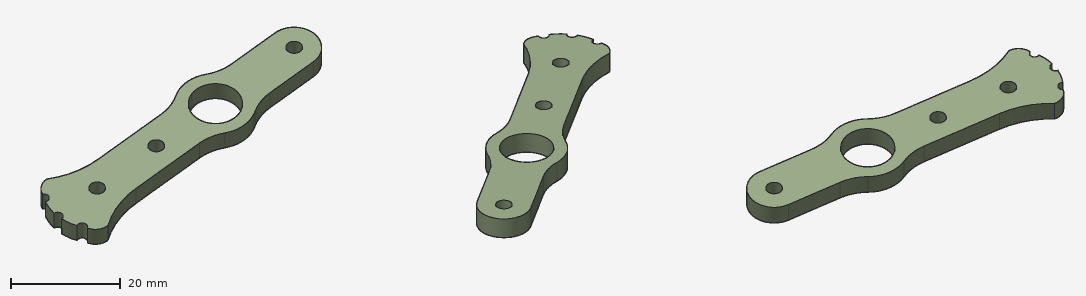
import cadquery as cq
import math

length = 64.95
thickness = 4.0
arm_half_width = 5.0
ring_radius = 7.5
bore_radius = 4.95
ring_blend_radius = 10.0
small_hole_radius = 1.5
hole_pitch = 15.0

tip_radius = 10.0
notch_radius = 1.0
notch_angle = 30.0
flare_start = 5.0
flare_end = -5.0
corner_half_width = 8.0
corner_radius = 3.1
corner_end_angle = 35.0

flare_drop = flare_start - flare_end
flare_spread = corner_half_width - arm_half_width
flare_radius = (flare_drop**2 + flare_spread**2) / (2 * flare_spread)

notch_mouth_depth = tip_radius - notch_radius**2 / (2 * tip_radius)
tip_y = -length / 2 + notch_mouth_depth
lower_hole_y = tip_y + hole_pitch
ring_y = lower_hole_y + hole_pitch
round_end_y = length / 2 - arm_half_width


def disc(radius, x, y):
    return cq.Workplane("XY").center(x, y).circle(radius).extrude(thickness)


def tip_point(angle):
    """Point on the tip arc, with the angle in degrees from straight down."""
    a = math.radians(angle)
    return tip_radius * math.sin(a), tip_y - tip_radius * math.cos(a)


def mirrored(point):
    return -point[0], point[1]


def make_arm():
    blend_x = arm_half_width + ring_blend_radius
    centre_distance = ring_radius + ring_blend_radius
    blend_rise = math.sqrt(centre_distance**2 - blend_x**2)
    contact_ratio = ring_radius / centre_distance
    contact_x = blend_x * contact_ratio
    contact_rise = blend_rise * contact_ratio

    flare_top = (arm_half_width, tip_y + flare_start)
    flare_bottom = (corner_half_width, tip_y + flare_end)
    tip_edge = tip_point(corner_end_angle)

    return (
        cq.Workplane("XY")
        .moveTo(-arm_half_width, round_end_y)
        .threePointArc((0, length / 2), (arm_half_width, round_end_y))
        .lineTo(arm_half_width, ring_y + blend_rise)
        .radiusArc((contact_x, ring_y + contact_rise), -ring_blend_radius)
        .threePointArc((ring_radius, ring_y), (contact_x, ring_y - contact_rise))
        .radiusArc((arm_half_width, ring_y - blend_rise), -ring_blend_radius)
        .lineTo(*flare_top)
        .radiusArc(flare_bottom, -flare_radius)
        .radiusArc(tip_edge, corner_radius)
        .threePointArc(tip_point(0), mirrored(tip_edge))
        .radiusArc(mirrored(flare_bottom), corner_radius)
        .radiusArc(mirrored(flare_top), -flare_radius)
        .lineTo(-arm_half_width, ring_y - blend_rise)
        .radiusArc((-contact_x, ring_y - contact_rise), -ring_blend_radius)
        .threePointArc((-ring_radius, ring_y), (-contact_x, ring_y + contact_rise))
        .radiusArc((-arm_half_width, ring_y + blend_rise), -ring_blend_radius)
        .close()
        .extrude(thickness)
    )


result = make_arm().cut(disc(bore_radius, 0, ring_y))

for hole_y in (round_end_y, lower_hole_y, tip_y):
    result = result.cut(disc(small_hole_radius, 0, hole_y))

for angle in (-notch_angle, 0, notch_angle):
    result = result.cut(disc(notch_radius, *tip_point(angle)))